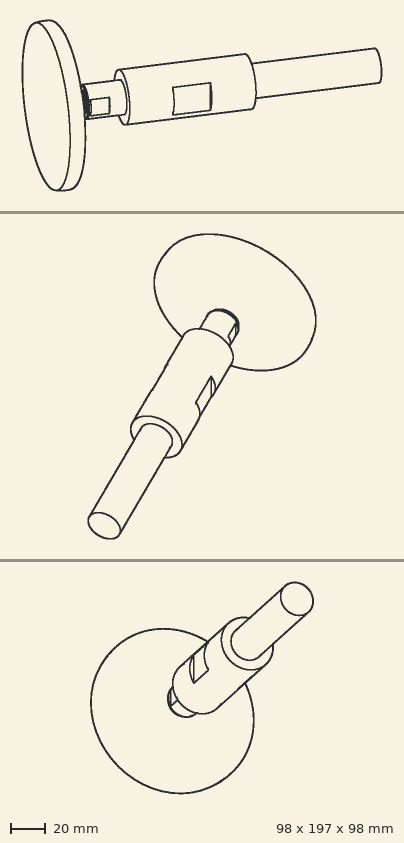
import cadquery as cq
import math

TOTAL_LENGTH = 197.0

FOOT_DIAMETER = 98.0
FOOT_RADIUS = FOOT_DIAMETER / 2
BASE_DRAFT = 0.5
BASE_HEIGHT = 3.5
RIM_CORNER_HEIGHT = 9.3
RIM_FILLET = 2.5
DOME_BASE_RADIUS = 12.2
DOME_BASE_HEIGHT = 15.5
DOME_TOP_RADIUS = 7.9
DOME_TOP_HEIGHT = 20.0
DOME_BULGE = 0.4
DOME_FILLET = 3.0
EDGE_TOLERANCE = 0.2
LIP_RADIUS = 8.9
LIP_THICKNESS = 0.5
FOOT_TOP = DOME_TOP_HEIGHT + LIP_THICKNESS

SPINDLE_DIAMETER = 20.0
SPINDLE_RADIUS = SPINDLE_DIAMETER / 2
NECK_RADIUS = 6.9
SPINDLE_SHOULDER = 22.0
SHOULDER_CHAMFER = 0.5
SPINDLE_FLAT_START = 23.8
SPINDLE_FLAT_LENGTH = 11.2
SPINDLE_ACROSS_FLATS = 17.3

SLEEVE_DIAMETER = 32.0
SLEEVE_START = 45.1
SLEEVE_LENGTH = 75.3
SLEEVE_FLAT_LENGTH = 22.5
SLEEVE_ACROSS_FLATS = 26.8
SLEEVE_FLAT_START = SLEEVE_START + (SLEEVE_LENGTH - SLEEVE_FLAT_LENGTH) / 2


def cylinder_along_y(diameter, start, length):
    """Round bar on the Y axis from start to start + length."""
    return cq.Workplane("XZ", origin=(0, start, 0)).circle(diameter / 2).extrude(-length)


def revolve_about_y(profile):
    """Full turn of a closed XY profile about the Y axis."""
    return profile.revolve(360, (0, 0, 0), (0, 1, 0))


def cut_wrench_flats(body, diameter, across_flats, start, length):
    """Cut two parallel flats facing -X and +X into a round bar."""
    depth = (diameter - across_flats) / 2
    for side in (-1, 1):
        cutter = cq.Workplane("XY").box(2 * depth, length, diameter).translate(
            (side * diameter / 2, start + length / 2, 0)
        )
        body = body.cut(cutter)
    return body


def bowed_midpoint(start, end, bulge):
    """Point beside the middle of a chord, on its left-hand side, for a three-point arc."""
    step_x = end[0] - start[0]
    step_y = end[1] - start[1]
    chord = math.hypot(step_x, step_y)
    return (
        (start[0] + end[0]) / 2 - bulge * step_y / chord,
        (start[1] + end[1]) / 2 + bulge * step_x / chord,
    )


def circles_at_height(height):
    """Selector for the foot's circular edges at one height."""
    return cq.selectors.BoxSelector(
        (-FOOT_RADIUS, height - EDGE_TOLERANCE, -FOOT_RADIUS),
        (FOOT_RADIUS, height + EDGE_TOLERANCE, FOOT_RADIUS),
    )


def make_foot():
    """Round foot plate: tapered base, rim, rounded edge, cone, dome and thin lip."""
    dome_base = (DOME_BASE_RADIUS, DOME_BASE_HEIGHT)
    dome_top = (DOME_TOP_RADIUS, DOME_TOP_HEIGHT)
    profile = (
        cq.Workplane("XY")
        .lineTo(0, FOOT_TOP)
        .lineTo(LIP_RADIUS, FOOT_TOP)
        .lineTo(LIP_RADIUS, DOME_TOP_HEIGHT)
        .lineTo(*dome_top)
        .threePointArc(bowed_midpoint(dome_top, dome_base, DOME_BULGE), dome_base)
        .lineTo(FOOT_RADIUS, RIM_CORNER_HEIGHT)
        .lineTo(FOOT_RADIUS, BASE_HEIGHT)
        .lineTo(FOOT_RADIUS - BASE_DRAFT, 0)
        .close()
    )
    plate = revolve_about_y(profile)
    plate = plate.edges(circles_at_height(DOME_BASE_HEIGHT)).fillet(DOME_FILLET)
    return plate.edges(circles_at_height(RIM_CORNER_HEIGHT)).fillet(RIM_FILLET)


def make_spindle():
    """Plain shaft with a neck standing on the foot and two wrench flats above it."""
    profile = (
        cq.Workplane("XY")
        .moveTo(0, FOOT_TOP)
        .lineTo(NECK_RADIUS, FOOT_TOP)
        .lineTo(NECK_RADIUS, SPINDLE_SHOULDER)
        .lineTo(SPINDLE_RADIUS - SHOULDER_CHAMFER, SPINDLE_SHOULDER)
        .lineTo(SPINDLE_RADIUS, SPINDLE_SHOULDER + SHOULDER_CHAMFER)
        .lineTo(SPINDLE_RADIUS, TOTAL_LENGTH)
        .lineTo(0, TOTAL_LENGTH)
        .close()
    )
    return cut_wrench_flats(
        revolve_about_y(profile),
        SPINDLE_DIAMETER,
        SPINDLE_ACROSS_FLATS,
        SPINDLE_FLAT_START,
        SPINDLE_FLAT_LENGTH,
    )


def make_sleeve():
    """Tube around the spindle with two wrench flats at mid-length."""
    body = cylinder_along_y(SLEEVE_DIAMETER, SLEEVE_START, SLEEVE_LENGTH)
    bore = cylinder_along_y(SPINDLE_DIAMETER, SLEEVE_START, SLEEVE_LENGTH)
    return cut_wrench_flats(
        body.cut(bore),
        SLEEVE_DIAMETER,
        SLEEVE_ACROSS_FLATS,
        SLEEVE_FLAT_START,
        SLEEVE_FLAT_LENGTH,
    )


foot = make_foot()
spindle = make_spindle()
sleeve = make_sleeve()

result = cq.Compound.makeCompound([foot.val(), spindle.val(), sleeve.val()])